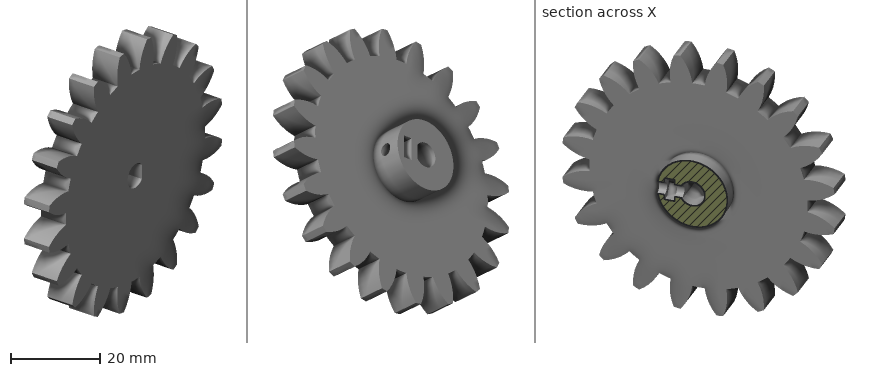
import cadquery as cq
import math

MODULE = 3.0
TEETH = 20
GEAR_WIDTH = 7.0
PITCH_RADIUS = MODULE * TEETH / 2
TIP_RADIUS = PITCH_RADIUS + MODULE
DEDENDUM = 1.25 * MODULE
ROOT_RADIUS = PITCH_RADIUS - DEDENDUM
TOOTH_PITCH = 360 / TEETH

ROOT_HALF_ANGLE = 5.75
PITCH_HALF_ANGLE = 4.14
TIP_HALF_ANGLE = 1.4

HUB_DIAMETER = 17.0
HUB_LENGTH = 8.0

BORE_DIAMETER = 6.0
BORE_FLAT_OFFSET = 2.4

SCREW_DIAMETER = 3.0
SCREW_X = -HUB_LENGTH / 2
NUT_ACROSS_FLATS = 5.4
NUT_CORNER_RADIUS = NUT_ACROSS_FLATS / math.sqrt(3)
NUT_THICKNESS = 2.4
NUT_START_Y = 4.2


def polar(radius, angle):
    """Point at an angle in degrees, as (y, z) in the plane across the axis."""
    radians = math.radians(angle)
    return radius * math.cos(radians), radius * math.sin(radians)


def gear_blank():
    """Toothed disc with a tooth gap centred on +Y."""
    profile = cq.Workplane("YZ").moveTo(*polar(ROOT_RADIUS, TOOTH_PITCH / 2 - ROOT_HALF_ANGLE))
    for tooth in range(TEETH):
        center = (tooth + 0.5) * TOOTH_PITCH
        next_center = center + TOOTH_PITCH
        profile = (
            profile
            .threePointArc(
                polar(PITCH_RADIUS, center - PITCH_HALF_ANGLE),
                polar(TIP_RADIUS, center - TIP_HALF_ANGLE),
            )
            .threePointArc(
                polar(TIP_RADIUS, center),
                polar(TIP_RADIUS, center + TIP_HALF_ANGLE),
            )
            .threePointArc(
                polar(PITCH_RADIUS, center + PITCH_HALF_ANGLE),
                polar(ROOT_RADIUS, center + ROOT_HALF_ANGLE),
            )
            .threePointArc(
                polar(ROOT_RADIUS, center + TOOTH_PITCH / 2),
                polar(ROOT_RADIUS, next_center - ROOT_HALF_ANGLE),
            )
        )
    return profile.close().extrude(GEAR_WIDTH)


def hub():
    """Round hub on the -X face of the gear."""
    return cq.Workplane("YZ").circle(HUB_DIAMETER / 2).extrude(-HUB_LENGTH)


def bore():
    """Through bore, cut off flat on the +Y side."""
    length = HUB_LENGTH + GEAR_WIDTH
    plane = cq.Workplane("YZ", origin=(-HUB_LENGTH, 0, 0))
    beyond_flat = (
        plane.center(BORE_FLAT_OFFSET + BORE_DIAMETER / 2, 0)
        .rect(BORE_DIAMETER, BORE_DIAMETER)
        .extrude(length)
    )
    return plane.circle(BORE_DIAMETER / 2).extrude(length).cut(beyond_flat)


def nut_trap():
    """Slot open at the hub face, ending in the V of a hexagonal nut around the screw axis."""
    half_flats = NUT_ACROSS_FLATS / 2
    side_end_x = SCREW_X + NUT_CORNER_RADIUS / 2
    return (
        cq.Workplane("XZ", origin=(0, NUT_START_Y, 0))
        .moveTo(-HUB_LENGTH, -half_flats)
        .lineTo(side_end_x, -half_flats)
        .lineTo(SCREW_X + NUT_CORNER_RADIUS, 0)
        .lineTo(side_end_x, half_flats)
        .lineTo(-HUB_LENGTH, half_flats)
        .close()
        .extrude(-NUT_THICKNESS)
    )


def screw_hole():
    """Radial hole from the +Y side of the hub into the bore."""
    return (
        cq.Workplane("XZ", origin=(SCREW_X, 0, 0))
        .circle(SCREW_DIAMETER / 2)
        .extrude(-HUB_DIAMETER / 2)
    )


result = gear_blank().union(hub()).cut(bore()).cut(nut_trap()).cut(screw_hole())